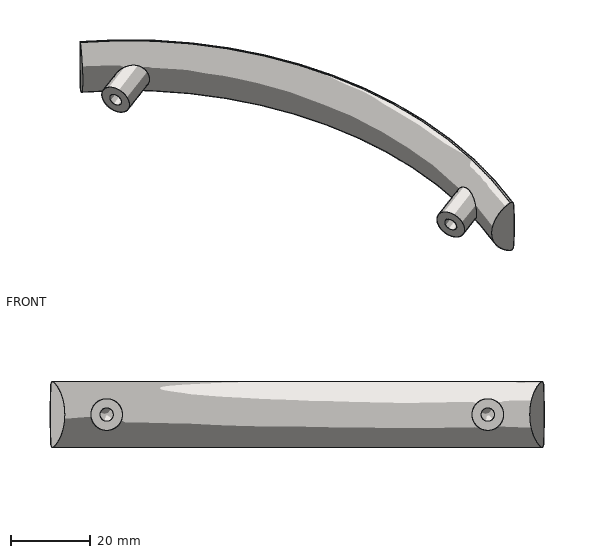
import cadquery as cq
import math

length = 124.5
total_depth = 27.0
bar_height = 16.7

bow_rise = 19.5
bar_thickness = 6.5
edge_round = 1.0

foot_spacing = 96.0
foot_diameter = 8.0
hole_diameter = 3.4
hole_depth = 10.0
drill_point_angle = 118.0

bow_radius = ((length / 2) ** 2 + bow_rise ** 2) / (2 * bow_rise)
bow_center_y = total_depth - bow_radius
bow_half_angle = math.degrees(math.asin(length / 2 / bow_radius))


def make_bow():
    """Domed bar with a spherical back and tangent rounds on its back edges, turned about the bow axis."""
    half_height = bar_height / 2
    round_center_z = half_height - edge_round
    round_center_reach = math.sqrt((bow_radius - edge_round) ** 2 - round_center_z ** 2)
    round_center_y = bow_center_y + round_center_reach

    tangent_angle = math.atan2(round_center_z, round_center_reach)
    back_end_y = bow_center_y + bow_radius * math.cos(tangent_angle)
    back_end_z = bow_radius * math.sin(tangent_angle)
    round_mid_angle = (tangent_angle + math.pi / 2) / 2
    round_mid_y = round_center_y + edge_round * math.cos(round_mid_angle)
    round_mid_z = round_center_z + edge_round * math.sin(round_mid_angle)

    section = (
        cq.Workplane("YZ")
        .moveTo(back_end_y, -back_end_z)
        .threePointArc((total_depth, 0), (back_end_y, back_end_z))
        .threePointArc((round_mid_y, round_mid_z), (round_center_y, half_height))
        .threePointArc((total_depth - bar_thickness, 0), (round_center_y, -half_height))
        .threePointArc((round_mid_y, -round_mid_z), (back_end_y, -back_end_z))
        .close()
    )
    axis_start = (0, bow_center_y, 0)
    axis_end = (0, bow_center_y, 1)
    bow = section.revolve(2 * bow_half_angle, axis_start[1:], axis_end[1:])
    return bow.rotate(axis_start, axis_end, -bow_half_angle)


def make_foot(x):
    """Round post from Y = 0 up to the middle of the bar thickness."""
    bar_middle_radius = bow_radius - bar_thickness / 2
    foot_length = bow_center_y + math.sqrt(bar_middle_radius ** 2 - x ** 2)
    return (
        cq.Workplane("XZ", origin=(x, 0, 0))
        .circle(foot_diameter / 2)
        .extrude(-foot_length)
    )


def make_screw_hole(x):
    """Blind drilled hole with a conical bottom, opening at the end of a foot."""
    radius = hole_diameter / 2
    point_length = radius / math.tan(math.radians(drill_point_angle / 2))
    return (
        cq.Workplane("XY", origin=(x, 0, 0))
        .polyline([(0, 0), (radius, 0), (radius, hole_depth), (0, hole_depth + point_length)])
        .close()
        .revolve(360, (0, 0), (0, 1))
    )


result = make_bow()
for foot_x in (-foot_spacing / 2, foot_spacing / 2):
    result = result.union(make_foot(foot_x)).cut(make_screw_hole(foot_x))